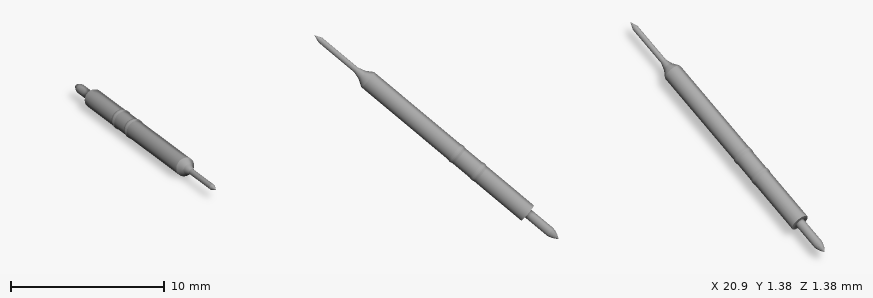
import cadquery as cq

overall_length = 20.85
tip_x = -overall_length / 2
tail_end_x = overall_length / 2
nose_length = 0.7
plunger_length = 1.94
barrel_length = 13.65
shoulder_length = 0.48
neck_length = 0.5
tail_point_length = 0.5

plunger_x = tip_x + nose_length
barrel_x = plunger_x + plunger_length
barrel_end_x = barrel_x + barrel_length
shoulder_end_x = barrel_end_x + shoulder_length
tail_x = shoulder_end_x + neck_length
tail_point_x = tail_end_x - tail_point_length

tip_diameter = 0.025
plunger_diameter = 0.65
barrel_diameter = 1.3
shoulder_end_diameter = 0.7
tail_diameter = 0.4
bead_diameter = 1.38

nose_mid_x = tip_x + 0.6 * nose_length
nose_mid_radius = 0.25

bead_length = 0.44
bead_crest_length = 0.08
bead_offsets = (4.21, 6.07)


def make_pin():
    """Revolve the plunger, barrel and tail as one solid about the X axis."""
    return (
        cq.Workplane("XY")
        .moveTo(tip_x, 0)
        .lineTo(tip_x, tip_diameter / 2)
        .threePointArc((nose_mid_x, nose_mid_radius), (plunger_x, plunger_diameter / 2))
        .lineTo(barrel_x, plunger_diameter / 2)
        .lineTo(barrel_x, barrel_diameter / 2)
        .lineTo(barrel_end_x, barrel_diameter / 2)
        .lineTo(shoulder_end_x, shoulder_end_diameter / 2)
        .lineTo(tail_x, tail_diameter / 2)
        .lineTo(tail_point_x, tail_diameter / 2)
        .lineTo(tail_end_x, tip_diameter / 2)
        .lineTo(tail_end_x, 0)
        .close()
        .revolve(360, (0, 0, 0), (1, 0, 0))
    )


def make_bead(centre_x):
    """Ring with sloping flanks and a narrow cylindrical crest."""
    half_base = bead_length / 2
    half_crest = bead_crest_length / 2
    return (
        cq.Workplane("XY")
        .moveTo(centre_x - half_base, 0)
        .lineTo(centre_x - half_base, barrel_diameter / 2)
        .lineTo(centre_x - half_crest, bead_diameter / 2)
        .lineTo(centre_x + half_crest, bead_diameter / 2)
        .lineTo(centre_x + half_base, barrel_diameter / 2)
        .lineTo(centre_x + half_base, 0)
        .close()
        .revolve(360, (0, 0, 0), (1, 0, 0))
    )


result = make_pin()
for bead_offset in bead_offsets:
    result = result.union(make_bead(barrel_x + bead_offset))